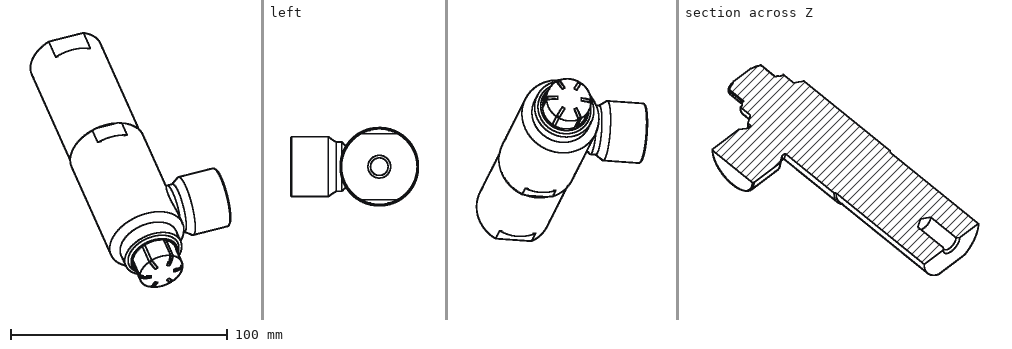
import cadquery as cq
import math


rear_radius = 34.87 / 2
rear_length = 58.6
rear_flat_length = 10.1
rear_flat_width = 30.5

sleeve_radius = 36.2 / 2
sleeve_chamfer = 0.75
sleeve_end = 116.7
sleeve_flat_end = 67.0
sleeve_flat_width = 33.25

collar_radius = 27.84 / 2
collar_start = 119.3
collar_end = 126.0
collar_rim_radius = 12.4
collar_rim_end = 126.3
collar_tip_radius = 22.66 / 2
nose_start = 127.5
nose_radius = 10.5
nose_dome_start = 137.5
total_length = 139.13
nose_tip_radius = 6.1

nose_slot_count = 6
nose_slot_width = 1.4
nose_slot_depth = 0.1
nose_notch_depth = 0.6

port_position = 103.2
port_reach = 40.95
port_radius = 27.71 / 2
port_chamfer = 0.6
port_cone_outer = 23.5
port_cone_inner = 19.9
port_neck_radius = 11.4
port_neck_start = 17.3
port_root_radius = 9.3

bore_radius = 8.13 / 2
bore_depth = 18.0
bore_countersink_radius = 5.25
bore_tip_angle = 118.0


def revolve_about_x(outline):
    """Revolve a closed (x, radius) outline about the main axis."""
    return outline.close().revolve(360, (0, 0, 0), (1, 0, 0))


def dome_middle():
    """Point on the nose dome halfway round its arc, which runs tangent into the tip face."""
    length = total_length - nose_dome_start
    drop = nose_radius - nose_tip_radius
    dome_radius = (length**2 + drop**2) / (2 * length)
    half_angle = math.asin(drop / dome_radius) / 2
    return (
        total_length - dome_radius * (1 - math.cos(half_angle)),
        nose_tip_radius + dome_radius * math.sin(half_angle),
    )


def make_body():
    outline = (
        cq.Workplane("XY")
        .polyline([
            (0, 0),
            (0, rear_radius),
            (rear_length, rear_radius),
            (rear_length + sleeve_chamfer, sleeve_radius),
            (sleeve_end, sleeve_radius),
            (collar_start, collar_radius),
            (collar_end, collar_radius),
            (collar_rim_end, collar_rim_radius),
            (nose_start, collar_tip_radius),
            (nose_start, nose_radius),
            (nose_dome_start, nose_radius),
        ])
        .threePointArc(dome_middle(), (total_length, nose_tip_radius))
        .lineTo(total_length, 0)
    )
    return revolve_about_x(outline)


def make_port():
    """Side port: a stepped round stem standing on the main axis."""
    outline = [
        (0, 0),
        (port_root_radius, 0),
        (port_root_radius, port_neck_start - (port_neck_radius - port_root_radius)),
        (port_neck_radius, port_neck_start),
        (port_neck_radius, port_cone_inner),
        (port_radius, port_cone_outer),
        (port_radius, port_reach - port_chamfer),
        (port_radius - port_chamfer, port_reach),
        (0, port_reach),
    ]
    stem = cq.Workplane("XY").polyline(outline).close().revolve(360, (0, 0, 0), (0, 1, 0))
    return stem.translate((port_position, 0, 0))


def make_flats(start, end, width):
    """Pair of blocks that leave two flats, `width` apart along Z."""
    block = cq.Workplane("XY").box(
        end - start, 2 * sleeve_radius, sleeve_radius, centered=(False, True, False)
    )
    upper = block.translate((start, 0, width / 2))
    return upper.union(upper.mirror("XY"))


def make_nose_slots():
    """Grooves with a shallow floor on the cylinder that deepen into notches on the dome."""
    floor_radius = nose_radius - nose_slot_depth
    slot = (
        cq.Workplane("XY")
        .polyline([
            (nose_start, floor_radius),
            (nose_dome_start, floor_radius),
            (nose_dome_start, nose_radius - nose_notch_depth),
            (total_length, nose_tip_radius - nose_notch_depth),
            (total_length, collar_tip_radius),
            (nose_start, collar_tip_radius),
        ])
        .close()
        .extrude(nose_slot_width / 2, both=True)
    )
    slots = cq.Workplane("XY")
    for index in range(nose_slot_count):
        angle = index * 360 / nose_slot_count
        slots = slots.add(slot.rotate((0, 0, 0), (1, 0, 0), angle))
    return slots.combine()


def make_bore():
    countersink_depth = bore_countersink_radius - bore_radius
    tip_length = bore_radius / math.tan(math.radians(bore_tip_angle / 2))
    outline = cq.Workplane("XY").polyline([
        (0, 0),
        (0, bore_countersink_radius),
        (countersink_depth, bore_radius),
        (bore_depth, bore_radius),
        (bore_depth + tip_length, 0),
    ])
    return revolve_about_x(outline)


body = make_body()
body = body.cut(make_flats(0, rear_flat_length, rear_flat_width))
body = body.cut(make_flats(rear_length, sleeve_flat_end, sleeve_flat_width))
body = body.cut(make_nose_slots())
body = body.cut(make_bore())
result = body.union(make_port())